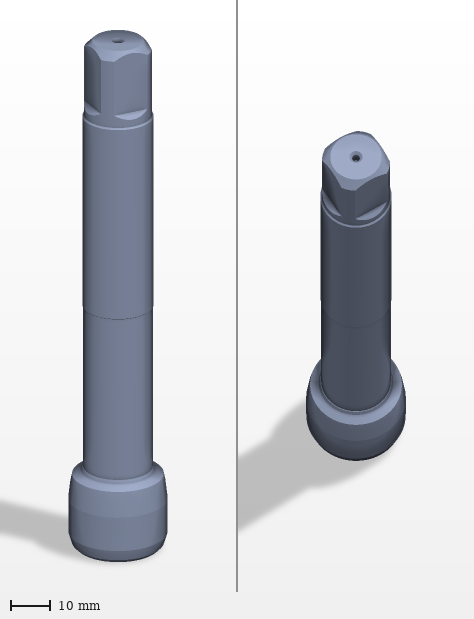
import cadquery as cq

LENGTH = 140.0
CAP_D = 25.2

GUIDE_D = 18.0
SHANK_D = 17.6
GUIDE_BOTTOM = 66.5
GUIDE_TOP = 119.5
GUIDE_BOTTOM_CHAMFER = (GUIDE_D - SHANK_D) / 2

DRIVE_D = 17.2
GUIDE_TOP_CHAMFER = (GUIDE_D - DRIVE_D) / 2
SQUARE_SIDE = 14.4
SQUARE_BOTTOM = 122.9
DRIVE_TIP_D = 13.0
DRIVE_CHAMFER = (DRIVE_D - DRIVE_TIP_D) / 2
SHOULDER_RUN = (GUIDE_D - SQUARE_SIDE) / 2

CENTRE_HOLE_D = 2.0
CENTRE_MOUTH_D = 3.4
CENTRE_HOLE_DEPTH = 3.5
CENTRE_CONE_DEPTH = (CENTRE_MOUTH_D - CENTRE_HOLE_D) / 2

CAP_FLOOR = 3.9
CAP_BAND_BOTTOM = 3.9
CAP_BAND_TOP = 13.2
CAP_SHOULDER_D = 23.2
CAP_SHOULDER_RADIUS = 42.0
CAP_SHOULDER_Z = 19.9
CAP_RIM_OUTER_D = 18.9
CAP_RIM_OUTER_Z = 21.1
CAP_RIM_D = 18.0
CAP_HEIGHT = 22.0
CAP_BASE_CONE_D = 23.4
CAP_BASE_CONE_Z = 1.0
CAP_BASE_D = 21.4


def spindle_blank():
    """Turned spindle, standing on the floor of the cap."""
    profile = (
        cq.Workplane("XZ")
        .moveTo(0, CAP_FLOOR)
        .lineTo(SHANK_D / 2, CAP_FLOOR)
        .lineTo(SHANK_D / 2, GUIDE_BOTTOM)
        .lineTo(GUIDE_D / 2, GUIDE_BOTTOM + GUIDE_BOTTOM_CHAMFER)
        .lineTo(GUIDE_D / 2, GUIDE_TOP - GUIDE_TOP_CHAMFER)
        .lineTo(DRIVE_D / 2, GUIDE_TOP)
        .lineTo(DRIVE_D / 2, LENGTH - DRIVE_CHAMFER)
        .lineTo(DRIVE_TIP_D / 2, LENGTH)
        .lineTo(0, LENGTH)
        .close()
    )
    return profile.revolve(360, (0, 0, 0), (0, 1, 0))


def flat_cutter():
    """Material beside one drive flat, with a 45 degree run-out at its lower end."""
    flat = SQUARE_SIDE / 2
    outside = flat + SHOULDER_RUN
    profile = (
        cq.Workplane("XZ")
        .moveTo(flat, LENGTH)
        .lineTo(flat, SQUARE_BOTTOM)
        .lineTo(outside, SQUARE_BOTTOM - SHOULDER_RUN)
        .lineTo(outside, LENGTH)
        .close()
    )
    return profile.extrude(GUIDE_D / 2, both=True)


def centre_drilling():
    """Small blind hole with a 45 degree countersunk mouth."""
    profile = (
        cq.Workplane("XZ")
        .moveTo(0, LENGTH)
        .lineTo(CENTRE_MOUTH_D / 2, LENGTH)
        .lineTo(CENTRE_HOLE_D / 2, LENGTH - CENTRE_CONE_DEPTH)
        .lineTo(CENTRE_HOLE_D / 2, LENGTH - CENTRE_HOLE_DEPTH)
        .lineTo(0, LENGTH - CENTRE_HOLE_DEPTH)
        .close()
    )
    return profile.revolve(360, (0, 0, 0), (0, 1, 0))


def make_spindle():
    spindle = spindle_blank()
    for angle in (0, 90, 180, 270):
        spindle = spindle.cut(flat_cutter().rotate((0, 0, 0), (0, 0, 1), angle))
    return spindle.cut(centre_drilling())


def make_cap():
    """Turned cap with a gently domed shoulder and a blind socket that holds the lower end of the spindle."""
    profile = (
        cq.Workplane("XZ")
        .lineTo(CAP_BASE_D / 2, 0)
        .lineTo(CAP_BASE_CONE_D / 2, CAP_BASE_CONE_Z)
        .lineTo(CAP_D / 2, CAP_BAND_BOTTOM)
        .lineTo(CAP_D / 2, CAP_BAND_TOP)
        .radiusArc((CAP_SHOULDER_D / 2, CAP_SHOULDER_Z), -CAP_SHOULDER_RADIUS)
        .lineTo(CAP_RIM_OUTER_D / 2, CAP_RIM_OUTER_Z)
        .lineTo(CAP_RIM_D / 2, CAP_HEIGHT)
        .lineTo(SHANK_D / 2, CAP_HEIGHT)
        .lineTo(SHANK_D / 2, CAP_FLOOR)
        .lineTo(0, CAP_FLOOR)
        .close()
    )
    return profile.revolve(360, (0, 0, 0), (0, 1, 0))


spindle = make_spindle()
cap = make_cap()
result = cq.Compound.makeCompound([spindle.val(), cap.val()])